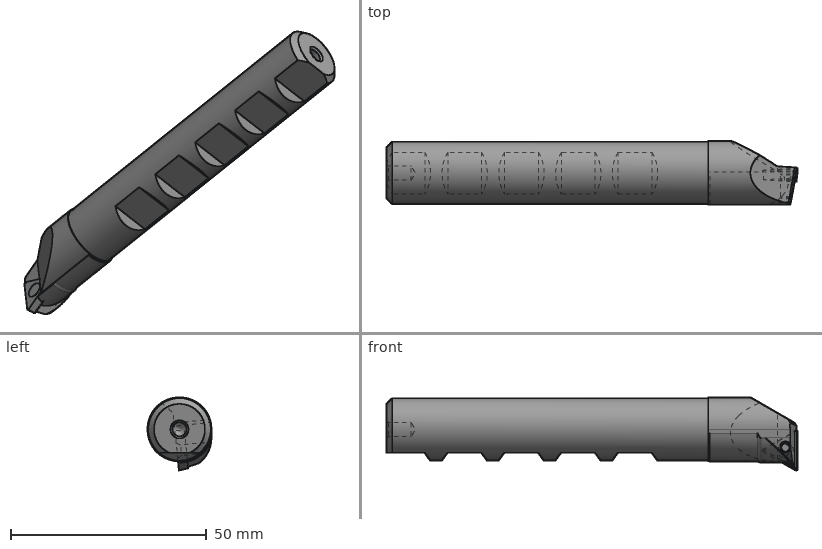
import cadquery as cq
import math

LENGTH = 105.0

SHANK_RADIUS = 8.0
SHANK_LENGTH = 82.1
END_CHAMFER = 1.5

FLAT_DEPTH = 6.0
FIRST_LAND_X = 12.7
LAND_PITCH = 14.5
FLAT_COUNT = 5
LAND_WIDTH = 5.9
LAND_SLOPE_RUN = 1.5

CENTRE_HOLE_RADIUS = 1.8
CENTRE_HOLE_MOUTH = 2.3
CENTRE_HOLE_DEPTH = 6.3
DRILL_POINT_ANGLE = 118.0

HEAD_RADIUS = 8.2
SWELL_RADIUS = 8.5
SWELL_DROP = 2.0
TOP_SLOPE_X = 92.9
TOP_SLOPE_ANGLE = 30.0

CLEARANCE_TOP = -0.9
BACK_START_X = 82.5
BACK_END_X = 94.7
BACK_RADIUS = math.hypot(HEAD_RADIUS, CLEARANCE_TOP)
FRONT_START_X = 95.5
FRONT_RADIUS = 8.5
CLEARANCE_X = 95.2
CLEARANCE_ANGLE = 40.0
CLEARANCE_DRAFT = 10.0

RAKE_TILT = 6.0
RAKE_OFFSET = 1.3
RAMP_START_X = 99.8
RAMP_ANGLE = 30.0

INSERT_INRADIUS = 3.2
TIP_Z = -10.5
INSERT_THICKNESS = 2.4
NOSE_RADIUS = 0.4
INSERT_RELIEF = 7.0
END_RELIEF = 10.0
END_SETBACK = 0.7
HEAD_CHAMFER = 0.5

SCREW_RADIUS = 1.4
SCREW_HEAD_RADIUS = 2.0
SCREW_HEAD_HEIGHT = 1.0
SCREW_LENGTH = 7.1
SCREW_TIP_CHAMFER = 0.3

OVERSIZE = 42.0


def tangent(angle):
    return math.tan(math.radians(angle))


tilt_sin = math.sin(math.radians(RAKE_TILT))
tilt_cos = math.cos(math.radians(RAKE_TILT))
tip_reach = NOSE_RADIUS + (INSERT_INRADIUS - NOSE_RADIUS) * math.sqrt(3)
insert_centre_z = TIP_Z + tip_reach * tilt_cos
insert_centre = (
    LENGTH - INSERT_INRADIUS,
    RAKE_OFFSET / tilt_cos + insert_centre_z * tangent(RAKE_TILT),
    insert_centre_z,
)
SEAT = cq.Plane(insert_centre, xDir=(-1, 0, 0), normal=(0, -tilt_cos, tilt_sin))
PROFILE = cq.Plane((0, 0, 0), xDir=(1, 0, 0), normal=(0, tilt_sin, tilt_cos))


def bar(radius, start, end):
    return cq.Workplane("YZ", origin=(start, 0, 0)).circle(radius).extrude(end - start)


def shank_flats():
    """The material removed between the lands, one trapezoid per flat."""
    run_per_depth = LAND_SLOPE_RUN / (SHANK_RADIUS - FLAT_DEPTH)
    bottom = -2 * SHANK_RADIUS
    widening = run_per_depth * (-FLAT_DEPTH - bottom)
    flats = []
    for index in range(FLAT_COUNT):
        end = FIRST_LAND_X + index * LAND_PITCH - LAND_WIDTH / 2
        start = end - LAND_PITCH + LAND_WIDTH
        if index == 0:
            start = -widening
        outline = [
            (start, -FLAT_DEPTH),
            (end, -FLAT_DEPTH),
            (end + widening, bottom),
            (start - widening, bottom),
        ]
        flat = cq.Workplane("XZ").polyline(outline).close().extrude(OVERSIZE / 2, both=True)
        flats.append(flat)
    return flats


def centre_hole():
    mouth_depth = CENTRE_HOLE_MOUTH - CENTRE_HOLE_RADIUS
    point_depth = CENTRE_HOLE_RADIUS / tangent(DRILL_POINT_ANGLE / 2)
    outline = [
        (0, 0),
        (0, CENTRE_HOLE_MOUTH),
        (mouth_depth, CENTRE_HOLE_RADIUS),
        (CENTRE_HOLE_DEPTH, CENTRE_HOLE_RADIUS),
        (CENTRE_HOLE_DEPTH + point_depth, 0),
    ]
    return cq.Workplane("XY").polyline(outline).close().revolve(360, (0, 0, 0), (1, 0, 0))


def make_shank():
    shank = bar(SHANK_RADIUS, 0, SHANK_LENGTH).faces("<X").chamfer(END_CHAMFER)
    for flat in shank_flats():
        shank = shank.cut(flat)
    return shank.cut(centre_hole())


def swell():
    """Quarter-round backing with a flat side tangent to the round head."""
    centre_y = SWELL_RADIUS - HEAD_RADIUS
    diagonal = SWELL_RADIUS * math.sqrt(0.5)
    return (
        cq.Workplane("YZ", origin=(SHANK_LENGTH, 0, 0))
        .moveTo(centre_y, 0)
        .lineTo(-HEAD_RADIUS, 0)
        .lineTo(-HEAD_RADIUS, -SWELL_DROP)
        .threePointArc(
            (centre_y - diagonal, -SWELL_DROP - diagonal),
            (centre_y, -SWELL_DROP - SWELL_RADIUS),
        )
        .close()
        .extrude(LENGTH - SHANK_LENGTH)
    )


def below_clearance_plane():
    """Everything under the drafted plane that slopes down to the insert's tip."""
    slope = tangent(CLEARANCE_ANGLE)
    draft = tangent(CLEARANCE_DRAFT)

    def section(y):
        start_x = CLEARANCE_X - draft / slope * (y + HEAD_RADIUS)
        reach = OVERSIZE / 2
        return (
            cq.Workplane("XZ", origin=(0, y, 0))
            .polyline([
                (start_x - reach, CLEARANCE_TOP),
                (start_x, CLEARANCE_TOP),
                (start_x + reach, CLEARANCE_TOP - reach * slope),
                (start_x - reach, CLEARANCE_TOP - reach * slope),
            ])
            .close()
            .wire()
            .val()
        )

    near = section(-OVERSIZE / 2)
    far = section(OVERSIZE / 2)
    return cq.Workplane(cq.Solid.makeLoft([near, far], True))


def swell_clearance():
    """The material below the clearance plane and outside a stepped round core."""
    core = (
        cq.Workplane("XY")
        .polyline([
            (0, 0),
            (0, HEAD_RADIUS),
            (BACK_START_X, HEAD_RADIUS),
            (BACK_START_X, BACK_RADIUS),
            (BACK_END_X, BACK_RADIUS),
            (FRONT_START_X, FRONT_RADIUS),
            (LENGTH + OVERSIZE, FRONT_RADIUS),
            (LENGTH + OVERSIZE, 0),
        ])
        .close()
        .revolve(360, (0, 0, 0), (1, 0, 0))
    )
    return below_clearance_plane().cut(core)


def top_slope_height(x):
    return HEAD_RADIUS - (x - TOP_SLOPE_X) * tangent(TOP_SLOPE_ANGLE)


def above_top_slope():
    rise = OVERSIZE * tangent(TOP_SLOPE_ANGLE)
    return (
        cq.Workplane("XZ")
        .moveTo(TOP_SLOPE_X, HEAD_RADIUS)
        .line(OVERSIZE, -rise)
        .line(0, 2 * rise)
        .line(-2 * OVERSIZE, 0)
        .close()
        .extrude(OVERSIZE, both=True)
    )


def chip_space():
    """The space over the rake face and its ramp, on the +Y side."""
    return (
        cq.Workplane(PROFILE)
        .moveTo(RAMP_START_X, RAKE_OFFSET)
        .line(OVERSIZE, 0)
        .line(0, OVERSIZE * tangent(RAMP_ANGLE))
        .line(-2 * OVERSIZE, 0)
        .close()
        .extrude(OVERSIZE, both=True)
    )


def beyond_end_face():
    """The space past the relieved end face, which starts under the insert's cutting edge."""
    run = OVERSIZE * tangent(END_RELIEF)
    edge_x = LENGTH - END_SETBACK
    edge_height = RAKE_OFFSET - INSERT_THICKNESS
    return (
        cq.Workplane(PROFILE)
        .moveTo(edge_x - run, edge_height - OVERSIZE)
        .lineTo(edge_x + run, edge_height + OVERSIZE)
        .line(OVERSIZE, 0)
        .line(0, -2 * OVERSIZE)
        .close()
        .extrude(OVERSIZE, both=True)
    )


def insert_blank():
    core_diameter = 4 * (INSERT_INRADIUS - NOSE_RADIUS)
    return (
        cq.Workplane(SEAT)
        .polygon(3, core_diameter)
        .offset2D(NOSE_RADIUS)
        .extrude(INSERT_THICKNESS, taper=INSERT_RELIEF)
    )


def screw_head():
    return (
        cq.Workplane(SEAT)
        .circle(SCREW_HEAD_RADIUS)
        .workplane(offset=SCREW_HEAD_HEIGHT)
        .circle(SCREW_RADIUS)
        .loft()
    )


def screw_hole():
    return cq.Workplane(SEAT).circle(SCREW_RADIUS).extrude(OVERSIZE).union(screw_head())


def make_screw():
    """Countersunk screw whose head is flush with the rake face."""
    screw = (
        cq.Workplane(SEAT)
        .circle(SCREW_RADIUS)
        .extrude(SCREW_LENGTH)
        .faces("<Y")
        .chamfer(SCREW_TIP_CHAMFER)
    )
    return screw.union(screw_head())


def make_insert():
    return insert_blank().cut(screw_hole())


def make_holder():
    head = bar(HEAD_RADIUS, SHANK_LENGTH, LENGTH).union(swell())
    head = head.cut(swell_clearance())
    head = head.cut(above_top_slope())
    head = head.cut(chip_space())
    head = head.cut(beyond_end_face())
    slope_end = (LENGTH, -HEAD_RADIUS / 2, top_slope_height(LENGTH))
    head = head.edges(cq.selectors.NearestToPointSelector(slope_end)).chamfer(HEAD_CHAMFER)
    head = head.cut(insert_blank())
    head = head.cut(screw_hole())
    return make_shank().union(head)


holder = make_holder()
insert = make_insert()
screw = make_screw()

result = cq.Compound.makeCompound([holder.solids().val(), insert.solids().val(), screw.solids().val()])